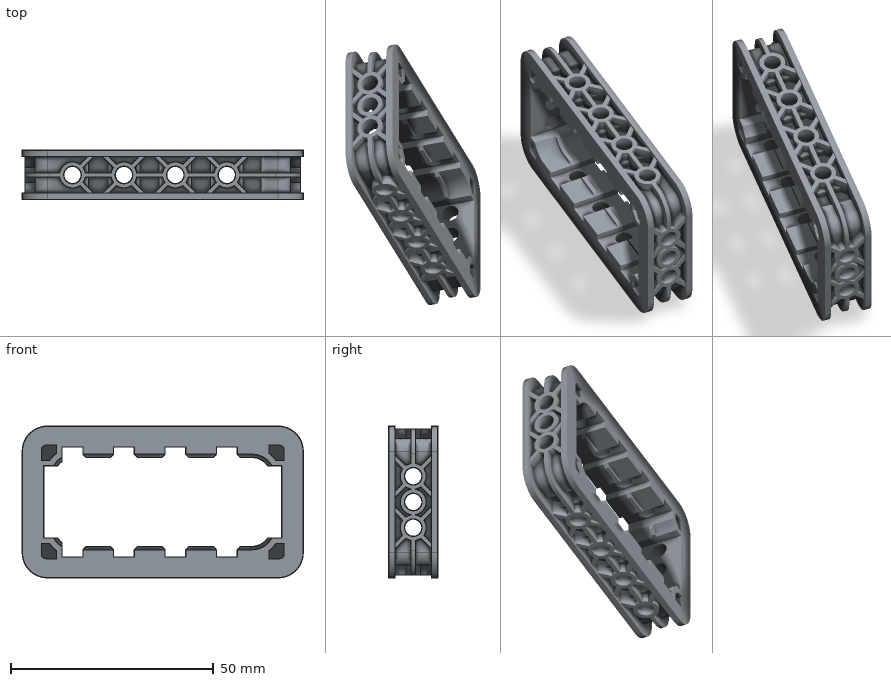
import cadquery as cq
import math

length = 69.5
depth = 12.2
height = 37.5
corner_radius = 6.25
plate_thickness = 1.6

web_thickness = 1.05
diagonal_width = 1.1
rib_inset = 0.7
rib_corner_radius = 6.1
wall_inset = 3.1

hole_pitch = 12.7
hole_count = 4
first_hole_x = -22.3
side_hole_pitch = hole_pitch / 2
hole_diameter = 4.25
boss_diameter = 6.4

opening_inset = 5.35
notch_width = 5.1
notch_inset = 5.2
tooth_inset = 6.95
corner_block_inset = 9.9
end_arc_radius = 5.6
end_arc_inset = 12.7

ridge_height = 0.8

pocket_wall = 1.45
tooth_pocket_inset = 4.85
end_pocket_x = 24.3
corner_pocket_inset = 4.7
corner_pocket_size = 3.75
corner_pocket_wall = 1.6
corner_pocket_radius = 1.25

half_length = length / 2
half_height = height / 2
gap = depth - 2 * plate_thickness
hole_xs = [first_hole_x + i * hole_pitch for i in range(hole_count)]
side_hole_zs = [i * side_hole_pitch for i in (-1, 0, 1)]

tooth_z = half_height - tooth_inset
end_arc_x = half_length - end_arc_inset
end_arc_z = tooth_z - end_arc_radius


def rounded_slab(inset, radius, thickness):
    """Slab centred on the middle plane, with the outer outline moved in by inset."""
    return (
        cq.Workplane("XY")
        .box(length - 2 * inset, thickness, height - 2 * inset)
        .edges("|Y")
        .fillet(radius)
    )


def end_arc_point(radius, angle):
    """Point on an arc about the end arc centre at +X, at an angle from +X toward +Z."""
    return end_arc_x + radius * math.cos(angle), end_arc_z + radius * math.sin(angle)


def opening(tip_drop):
    """The opening; tip_drop moves the tips and end arcs inward and bevels the tips by as much."""
    end_x = half_length - opening_inset
    block_z = half_height - corner_block_inset
    notch_z = half_height - notch_inset
    tip_z = tooth_z - tip_drop
    radius = end_arc_radius - tip_drop
    first_notch_reach = notch_width / 2 - hole_xs[0]

    block_angle = math.asin((block_z - end_arc_z) / radius)
    notch_angle = math.acos((first_notch_reach - end_arc_x) / radius)
    arc_start = end_arc_point(radius, block_angle)
    left_mid = end_arc_point(radius, (block_angle + notch_angle) / 2)
    left_end = end_arc_point(radius, notch_angle)
    right_mid = end_arc_point(radius, (block_angle + math.pi / 2) / 2)

    outline = cq.Workplane("XZ").moveTo(-end_x, 0).lineTo(-end_x, block_z)
    outline = outline.lineTo(-arc_start[0], block_z)
    outline = outline.threePointArc((-left_mid[0], left_mid[1]), (-left_end[0], left_end[1]))
    for x in hole_xs:
        outline = outline.lineTo(x - notch_width / 2, notch_z)
        outline = outline.line(notch_width, 0)
        outline = outline.lineTo(x + notch_width / 2, tooth_z)
        if tip_drop:
            outline = outline.line(tip_drop, -tip_drop)
        if x != hole_xs[-1]:
            outline = outline.lineTo(x + hole_pitch - notch_width / 2 - tip_drop, tip_z)
            if tip_drop:
                outline = outline.line(tip_drop, tip_drop)
    upper_half = (
        outline.lineTo(end_arc_x, tip_z)
        .threePointArc(right_mid, arc_start)
        .lineTo(end_x, block_z)
        .lineTo(end_x, 0)
        .close()
        .extrude(depth / 2, both=True)
    )
    return upper_half.union(upper_half.mirror("XY"))


def tooth_pockets():
    """Pockets sunk into the upper and lower teeth from outside, between the plates."""
    margin = notch_width / 2 + pocket_wall
    starts = [x + margin for x in hole_xs]
    ends = [x - margin for x in hole_xs[1:]] + [end_pocket_x]
    pocket_depth = tooth_pocket_inset - rib_inset
    center_z = half_height - rib_inset - pocket_depth / 2
    pockets = cq.Workplane("XY")
    for start, end in zip(starts, ends):
        for side in (-1, 1):
            pocket = cq.Workplane("XY").box(end - start, gap, pocket_depth)
            pockets = pockets.union(pocket.translate(((start + end) / 2, 0, side * center_z)))
    return pockets


def boss_with_ribs(angles, boss_height):
    """Boss standing on the XY plane at the origin, with diagonal ribs out to the plates."""
    reach = (gap + plate_thickness) / math.sqrt(2)
    shape = cq.Workplane("XY").circle(boss_diameter / 2).extrude(boss_height)
    for angle in angles:
        rib = cq.Workplane("XY").center(reach / 2, 0).rect(reach, diagonal_width).extrude(boss_height)
        shape = shape.union(rib.rotate((0, 0, 0), (0, 0, 1), angle))
    return shape


def rail_bosses():
    """Bosses and ribs of the upper and lower rails; no rib points to the -X end."""
    base_z = half_height - tooth_pocket_inset
    bosses = cq.Workplane("XY")
    for x in hole_xs:
        angles = (-45, 45) if x == hole_xs[0] else (-135, -45, 45, 135)
        boss = boss_with_ribs(angles, tooth_pocket_inset - rib_inset).translate((x, 0, base_z))
        bosses = bosses.union(boss).union(boss.mirror("XY"))
    return bosses


def side_bosses():
    """Bosses and ribs of both side walls; the middle boss has no ribs."""
    base_x = half_length - opening_inset
    bosses = cq.Workplane("XY")
    for z in side_hole_zs:
        angles = () if z == 0 else (-135, -45, 45, 135)
        boss = boss_with_ribs(angles, opening_inset - rib_inset)
        boss = boss.rotate((0, 0, 0), (0, 1, 0), 90).translate((base_x, 0, z))
        bosses = bosses.union(boss).union(boss.mirror("YZ"))
    return bosses


def bores():
    """Through holes of the rails along Z and of the side walls along X."""
    rail_points = [(x, 0) for x in hole_xs]
    side_points = [(0, z) for z in side_hole_zs]
    rail_bores = cq.Workplane("XY").pushPoints(rail_points).circle(hole_diameter / 2)
    side_bores = cq.Workplane("YZ").pushPoints(side_points).circle(hole_diameter / 2)
    return rail_bores.extrude(half_height, both=True).union(side_bores.extrude(half_length, both=True))


def corner_pockets():
    """Pockets in the four corners, with one side following the end arc; the web is their floor."""
    center_x = half_length - corner_pocket_inset - corner_pocket_size / 2
    center_z = half_height - corner_pocket_inset - corner_pocket_size / 2
    pocket_depth = (depth - web_thickness) / 2
    pocket = (
        cq.Workplane("XY")
        .box(corner_pocket_size, pocket_depth, corner_pocket_size)
        .edges("|Y and >X and >Z")
        .fillet(corner_pocket_radius)
        .translate((center_x, (web_thickness + pocket_depth) / 2, center_z))
    )
    inner_wall = (
        cq.Workplane("XZ")
        .center(end_arc_x, end_arc_z)
        .circle(end_arc_radius + corner_pocket_wall)
        .extrude(depth / 2, both=True)
    )
    pocket = pocket.cut(inner_wall)
    for plane in ("XY", "YZ", "XZ"):
        pocket = pocket.union(pocket.mirror(plane))
    return pocket


def plates():
    solid = rounded_slab(0, corner_radius, depth)
    return solid.cut(cq.Workplane("XY").box(length, gap, height))


wall = rounded_slab(wall_inset, corner_radius - wall_inset, depth).cut(tooth_pockets())
frame = plates().union(wall).union(rail_bosses()).union(side_bosses())
frame = frame.cut(opening(0)).cut(corner_pockets())
web = rounded_slab(rib_inset, rib_corner_radius, web_thickness)
web = web.cut(opening(ridge_height))
result = frame.union(web).cut(bores())